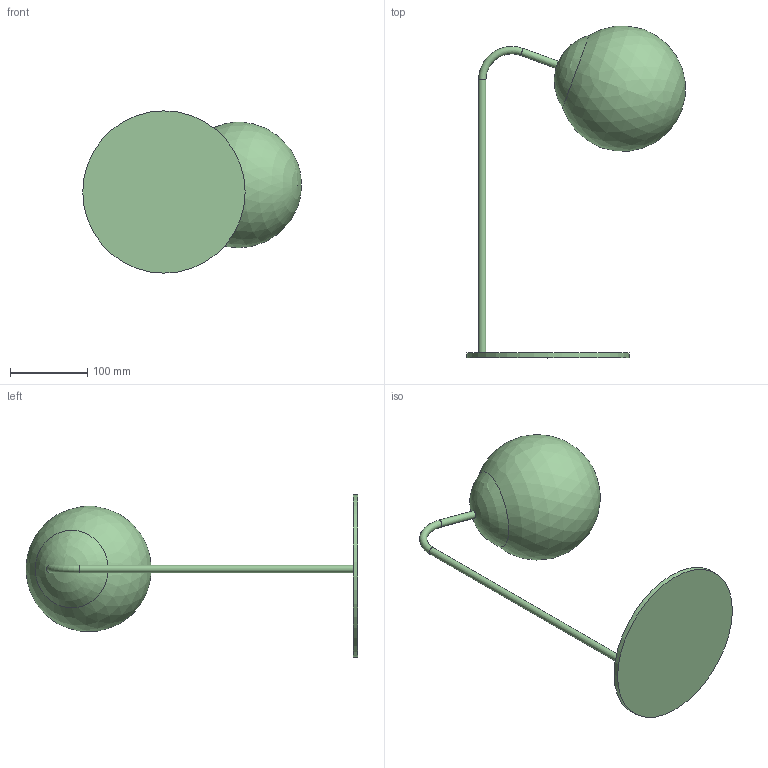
import cadquery as cq
import math

BASE_DIAMETER = 209.55
BASE_THICKNESS = 6.35

OVERALL_X = 282.43
OVERALL_Y = 428.8

GLOBE_RADIUS = 81.28
COLLAR_RADIUS = 50.0
DOME_HEIGHT = 26.0

TUBE_RADIUS = 9.525 / 2
STEM_INSET = 20.0
TUBE_Z = 9.0
BEND_RADIUS = 38.1
ARM_ANGLE = math.radians(20.0)

base_radius = BASE_DIAMETER / 2
globe_x = OVERALL_X - base_radius - GLOBE_RADIUS
globe_y = OVERALL_Y - GLOBE_RADIUS

arm_x = math.cos(ARM_ANGLE)
arm_y = -math.sin(ARM_ANGLE)

stem_x = STEM_INSET - base_radius
bend_x = stem_x + BEND_RADIUS
arm_start_x = bend_x + BEND_RADIUS * math.sin(ARM_ANGLE)
arm_start_y = globe_y + (globe_x - arm_start_x) * math.tan(ARM_ANGLE)
bend_y = arm_start_y - BEND_RADIUS * math.cos(ARM_ANGLE)

mid_angle = (math.pi + (math.pi / 2 - ARM_ANGLE)) / 2
bend_mid = (
    bend_x + BEND_RADIUS * math.cos(mid_angle),
    bend_y + BEND_RADIUS * math.sin(mid_angle),
)

collar_offset = math.sqrt(GLOBE_RADIUS**2 - COLLAR_RADIUS**2)
dome_radius = (COLLAR_RADIUS**2 + DOME_HEIGHT**2) / (2 * DOME_HEIGHT)
dome_offset = collar_offset + DOME_HEIGHT - dome_radius


def make_base():
    """Flat disc with its outer face at y = 0."""
    return cq.Workplane("XZ").circle(base_radius).extrude(-BASE_THICKNESS)


def make_tube():
    """Round tube swept from the base, around the bend and into the globe."""
    path = (
        cq.Workplane("XY", origin=(0, 0, TUBE_Z))
        .moveTo(stem_x, 0)
        .lineTo(stem_x, bend_y)
        .threePointArc(bend_mid, (arm_start_x, arm_start_y))
        .lineTo(globe_x, globe_y)
    )
    profile = cq.Workplane("XZ", origin=(stem_x, 0, TUBE_Z)).circle(TUBE_RADIUS)
    return profile.sweep(path)


def make_globe():
    """Globe and dome in one revolved solid about the arm axis."""
    dome_tip = collar_offset + DOME_HEIGHT
    half_dome = math.asin(COLLAR_RADIUS / dome_radius) / 2
    dome_mid = (
        dome_radius * math.sin(half_dome),
        dome_offset + dome_radius * math.cos(half_dome),
    )
    plane = cq.Plane(
        origin=(globe_x, globe_y, TUBE_Z),
        xDir=(0, 0, 1),
        normal=(arm_y, -arm_x, 0),
    )
    return (
        cq.Workplane(plane)
        .moveTo(0, -GLOBE_RADIUS)
        .threePointArc((GLOBE_RADIUS, 0), (COLLAR_RADIUS, collar_offset))
        .threePointArc(dome_mid, (0, dome_tip))
        .close()
        .revolve(360, (0, 0, 0), (0, 1, 0))
    )


result = make_base().union(make_tube()).union(make_globe())